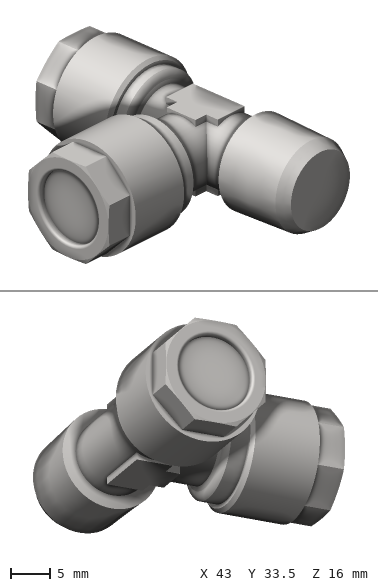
import cadquery as cq
import math

body_radius = 10.3 / 2
run_end_reach = 23.0
branch_end_reach = 25.5
spigot_end_reach = 20.0

collar_radius = 16.0 / 2
collar_chamfer = 0.5
collar_face_depth = 13.5
nut_across_flats = 14.0
nut_length = 4.0
nut_sides = 8
nut_face_radius = 13.9 / 2
nut_chamfer_angle = 15.0
recess_radius = 10.2 / 2
recess_depth = 1.0
recess_mouth_round = 0.4

shoulder_radius = 13.9 / 2
shoulder_round_length = 0.6
shoulder_round_drop = 1.2
shoulder_cone_length = 0.2
run_shoulder_reach = 7.2
branch_shoulder_reach = 8.85

spigot_start = 8.25
spigot_back_cone_length = 0.4
spigot_large_radius = 6.8
spigot_taper = 1 / 16
spigot_tip_length = 1.75
spigot_tip_angle = 30.0

pad_height = 11.0
pad_length = 9.0
pad_width = 5.0
pad_stem_reach = 4.5


def make_nut():
    """Octagonal nut with its end face at x = 0, extending towards +X."""
    corner_radius = nut_across_flats / 2 / math.cos(math.pi / nut_sides)
    prism = (
        cq.Workplane("YZ")
        .polygon(nut_sides, 2 * corner_radius)
        .extrude(nut_length)
        .rotate((0, 0, 0), (1, 0, 0), 180 / nut_sides)
    )
    chamfer_slope = math.tan(math.radians(nut_chamfer_angle))
    chamfer_length = (collar_radius - nut_face_radius) * chamfer_slope
    envelope = (
        cq.Workplane("XY")
        .moveTo(0, 0)
        .lineTo(0, nut_face_radius)
        .lineTo(chamfer_length, collar_radius)
        .lineTo(nut_length, collar_radius)
        .lineTo(nut_length, 0)
        .close()
        .revolve(360, (0, 0, 0), (1, 0, 0))
    )
    return prism.intersect(envelope)


def make_recess():
    """Shallow round recess with a rounded mouth at x = 0."""
    return (
        cq.Workplane("XY")
        .moveTo(0, 0)
        .lineTo(0, recess_radius + recess_mouth_round)
        .radiusArc((recess_mouth_round, recess_radius), -recess_mouth_round)
        .lineTo(recess_depth, recess_radius)
        .lineTo(recess_depth, 0)
        .close()
        .revolve(360, (0, 0, 0), (1, 0, 0))
    )


def make_compression_arm(end_reach, shoulder_reach):
    """Arm along -X: body tube, shoulder ring, collar and recessed nut."""
    collar_back = -end_reach + nut_length
    collar_face = -end_reach + collar_face_depth
    round_end = -shoulder_reach - shoulder_cone_length
    round_start = round_end - shoulder_round_length
    round_radius = (shoulder_round_length**2 + shoulder_round_drop**2) / (2 * shoulder_round_length)
    turned = (
        cq.Workplane("XY")
        .moveTo(collar_back, 0)
        .lineTo(collar_back, collar_radius)
        .lineTo(collar_face - collar_chamfer, collar_radius)
        .lineTo(collar_face, collar_radius - collar_chamfer)
        .lineTo(collar_face, shoulder_radius)
        .lineTo(round_start, shoulder_radius)
        .radiusArc((round_end, shoulder_radius - shoulder_round_drop), round_radius)
        .lineTo(-shoulder_reach, body_radius)
        .lineTo(0, body_radius)
        .lineTo(0, 0)
        .close()
        .revolve(360, (0, 0, 0), (1, 0, 0))
    )
    nut = make_nut().translate((-end_reach, 0, 0))
    recess = make_recess().translate((-end_reach, 0, 0))
    return turned.union(nut).cut(recess)


def make_spigot_arm():
    """Arm along +X: body tube and tapered spigot with a conical tip."""
    taper_start = spigot_start + spigot_back_cone_length
    taper_end = spigot_end_reach - spigot_tip_length
    small_radius = spigot_large_radius - (taper_end - taper_start) * spigot_taper / 2
    tip_radius = small_radius - spigot_tip_length * math.tan(math.radians(spigot_tip_angle))
    return (
        cq.Workplane("XY")
        .moveTo(0, 0)
        .lineTo(0, body_radius)
        .lineTo(spigot_start, body_radius)
        .lineTo(taper_start, spigot_large_radius)
        .lineTo(taper_end, small_radius)
        .lineTo(spigot_end_reach, tip_radius)
        .lineTo(spigot_end_reach, 0)
        .close()
        .revolve(360, (0, 0, 0), (1, 0, 0))
    )


def make_pads():
    """T-shaped block through the body, standing proud at top and bottom."""
    crossbar = cq.Workplane("XY").box(pad_length, pad_width, pad_height)
    stem = (
        cq.Workplane("XY")
        .box(pad_width, pad_stem_reach, pad_height)
        .translate((0, -pad_stem_reach / 2, 0))
    )
    return crossbar.union(stem)


run_arm = make_compression_arm(run_end_reach, run_shoulder_reach)
branch_arm = make_compression_arm(branch_end_reach, branch_shoulder_reach)
branch_arm = branch_arm.rotate((0, 0, 0), (0, 0, 1), 90)

result = make_spigot_arm().union(run_arm).union(branch_arm).union(make_pads())